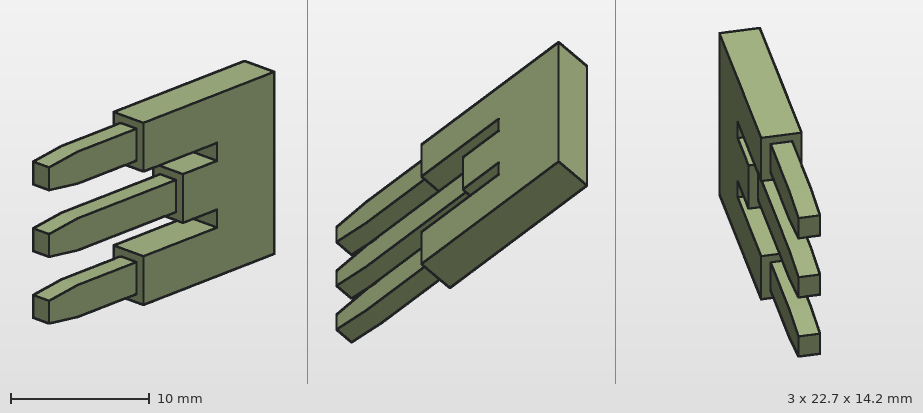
import cadquery as cq

body_thickness = 3.0
arm_height = 3.8
pitch = 5.2
pin_count = 3
spine_depth = 5.95
outer_arm_reach = 13.6
middle_arm_reach = 9.5

overall_length = 22.68
pin_width = 1.6
pin_height = 2.5
tip_height = 1.78
tip_length = 2.97

body_height = (pin_count - 1) * pitch + arm_height
middle_index = pin_count // 2


def block(thickness, length, height, center_z):
    """Box centred on X = 0, running from the back face (Y = 0) toward -Y."""
    return (
        cq.Workplane("XY")
        .box(thickness, length, height, centered=(True, False, True))
        .translate((0, -length, center_z))
    )


def pin(center_z):
    """Flat pin that starts at the slot floor and tapers in height at its tip."""
    root_y = -spine_depth
    taper_y = -(overall_length - tip_length)
    tip_y = -overall_length
    return (
        cq.Workplane("YZ")
        .polyline([
            (root_y, -pin_height / 2),
            (taper_y, -pin_height / 2),
            (tip_y, -tip_height / 2),
            (tip_y, tip_height / 2),
            (taper_y, pin_height / 2),
            (root_y, pin_height / 2),
        ])
        .close()
        .extrude(pin_width / 2, both=True)
        .translate((0, 0, center_z))
    )


result = block(body_thickness, spine_depth, body_height, 0)

for index in range(pin_count):
    level = (index - middle_index) * pitch
    arm_reach = middle_arm_reach if index == middle_index else outer_arm_reach
    result = result.union(block(body_thickness, arm_reach, arm_height, level))
    result = result.union(pin(level))